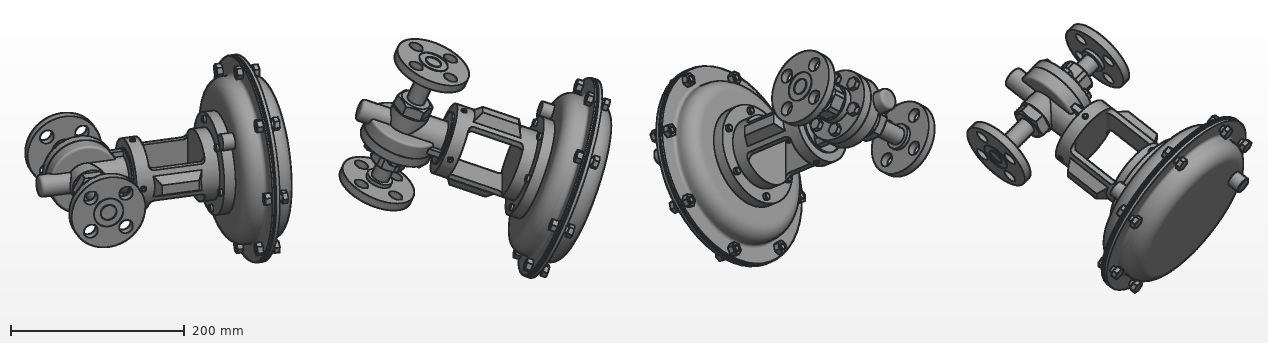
import cadquery as cq
import math


CASE_BOTTOM, CASE_TOP = 162.7, 223.3
CASE_RADIUS = 98.0
CASE_CORNER = 17.0
RIM_BOTTOM, RIM_TOP = 188.5, 197.5
RIM_RADIUS = 120.5
RIM_CHAMFER_WIDTH = 1.0
RIM_CHAMFER_HEIGHT = 2.0
RIM_FILLET = 3.8
SEAM_LEVEL = 192.7
SEAM_HEIGHT = 0.45
SEAM_DEPTH = 1.0

RIM_BOLT_COUNT = 8
RIM_BOLT_CIRCLE_RADIUS = 111.0
BOLT_ACROSS_FLATS = 13.2
BOLT_SHANK_RADIUS = 4.0
BOLT_HEAD_BOTTOM, BOLT_HEAD_TOP = 202.2, 208.3
NUT_BOTTOM = 181.5
BOLT_END = 180.7
BOLT_END_CHAMFER = 1.0

PORT_RADIUS = 9.7
PORT_CHAMFER = 0.5
TOP_PORT_X = -70.3
TOP_PORT_END = 238.0
LOWER_PORT_X, LOWER_PORT_Z = 49.5, 49.5
LOWER_PORT_END = 148.3

PLATE_RADIUS = 60.0
PLATE_BOTTOM = 149.2
PLATE_SCREW_COUNT = 6
PLATE_SCREW_CIRCLE_RADIUS = 52.5
PLATE_SCREW_START_ANGLE = 15
PLATE_SCREW_RADIUS = 4.0
PLATE_SCREW_END = 145.0

YOKE_RADIUS = 42.5
YOKE_BOTTOM = 49.0
WINDOW_BOTTOM, WINDOW_TOP = 66.0, 133.5
WINDOW_HALF_WIDTH = 31.2
LEG_HALF_WIDTH = 19.5
WINDOW_FILLET = 6.0
PAD_OUTER_X = 52.5
PAD_INNER_X = 35.3
PAD_BOTTOM, PAD_TOP = 76.5, 121.2
PAD_HALF_WIDTH = 6.2
PAD_SLOPE = 30
SET_SCREW_COUNT = 4
SET_SCREW_Y = 57.0
SET_SCREW_RADIUS = 3.2
SET_SCREW_REACH = 44.5
SET_SCREW_CHAMFER = 1.2

COLLAR_RADIUS = 31.5
COLLAR_BOTTOM = 47.0
NECK_CENTER_X = -3.0
LUG_BACK_X, LUG_SHOULDER_X, LUG_FRONT_X = -3.5, -10.5, -14.7
LUG_HALF_WIDTH = 28.5
LUG_FRONT_HALF_WIDTH = 22.0

BODY_RADIUS = 42.7
COVER_RADIUS = 43.0
COVER_LEFT, COVER_RIGHT = -28.5, -16.8
BODY_RIGHT = 1.2
BODY_FILLET = 3.2
HUB_RADIUS = 22.0
HUB_LEFT = -37.0
OUTLET_END = 21.8
STEM_RADIUS = 13.0
STEM_END = -56.2
STEM_FILLET = 3.8
COVER_BOLT_COUNT = 6
COVER_BOLT_CIRCLE_RADIUS = 33.0
COVER_BOLT_ACROSS_FLATS = 13.0
COVER_BOLT_LEFT = -34.5

NUT_ACROSS_FLATS = 38.3
INLET_NUT_LEFT = -55.0
INLET_NUT_CORNER_FLATS = 41.0
OUTLET_NUT_RIGHT = 36.0
UNION_NUT_CHAMFER_LENGTH = 2.5
UNION_NUT_CHAMFER_DEPTH = 4.7

PIPE_RADIUS = 10.5
WELD_RADIUS = 15.3
WELD_X = 75.5
FLANGE_RADIUS = 44.5
FLANGE_INNER_X, FLANGE_OUTER_X = 80.3, 90.5
FACE_RADIUS = 17.7
FACE_OUTER_X = 91.5
BORE_RADIUS = 9.5
BORE_DEPTH = 1.2
FLANGE_HOLE_COUNT = 4
FLANGE_HOLE_START_ANGLE = 45
FLANGE_HOLE_RADIUS = 8.2
FLANGE_HOLE_CIRCLE_RADIUS = 30.0

OVERLAP = 3.0
HEX_HALF_STEP = 30


def rod_y(radius, start, end, x=0.0, z=0.0):
    """Cylinder along Y from start to end, centred at (x, z)."""
    return cq.Workplane("XZ", origin=(x, start, z)).circle(radius).extrude(start - end)


def rod_x(radius, start, end, y=0.0, z=0.0):
    """Cylinder along X from start to end, centred at (y, z)."""
    return cq.Workplane("YZ", origin=(start, y, z)).circle(radius).extrude(end - start)


def hex_corners(across_flats):
    """Distance across the corners of a hexagon."""
    return across_flats / math.cos(math.radians(HEX_HALF_STEP))


def hex_x(across_flats, start, end, y=0.0, z=0.0):
    """Hexagon along X with two corners pointing along Y."""
    return cq.Workplane("YZ", origin=(start, y, z)).polygon(6, hex_corners(across_flats)).extrude(end - start)


def hex_y(across_flats, start, end, x):
    """Hexagon along Y with two corners pointing along X."""
    return cq.Workplane("XZ", origin=(x, start, 0)).polygon(6, hex_corners(across_flats)).extrude(start - end)


def ring_of(part, count, axis, start_angle=0.0):
    """Copies of a part spread evenly around an axis through the origin."""
    copies = cq.Workplane()
    for i in range(count):
        copies = copies.add(part.rotate((0, 0, 0), axis, start_angle + i * 360 / count))
    return copies


def make_case():
    """Two domed case halves joined at a wide rim, with a seam groove around the rim."""
    inset = CASE_CORNER * (1 - math.sqrt(0.5))
    flare = RIM_FILLET * (1 - math.sqrt(0.5))
    flat_radius = CASE_RADIUS - CASE_CORNER
    rim_root = CASE_RADIUS + RIM_FILLET
    profile = (
        cq.Workplane("XY")
        .moveTo(0, CASE_BOTTOM)
        .lineTo(flat_radius, CASE_BOTTOM)
        .threePointArc((CASE_RADIUS - inset, CASE_BOTTOM + inset), (CASE_RADIUS, CASE_BOTTOM + CASE_CORNER))
        .lineTo(CASE_RADIUS, RIM_BOTTOM - RIM_FILLET)
        .threePointArc((CASE_RADIUS + flare, RIM_BOTTOM - flare), (rim_root, RIM_BOTTOM))
        .lineTo(RIM_RADIUS - RIM_CHAMFER_WIDTH, RIM_BOTTOM)
        .lineTo(RIM_RADIUS, RIM_BOTTOM + RIM_CHAMFER_HEIGHT)
        .lineTo(RIM_RADIUS, RIM_TOP)
        .lineTo(rim_root, RIM_TOP)
        .threePointArc((CASE_RADIUS + flare, RIM_TOP + flare), (CASE_RADIUS, RIM_TOP + RIM_FILLET))
        .lineTo(CASE_RADIUS, CASE_TOP - CASE_CORNER)
        .threePointArc((CASE_RADIUS - inset, CASE_TOP - inset), (flat_radius, CASE_TOP))
        .lineTo(0, CASE_TOP)
        .close()
    )
    case = profile.revolve(360, (0, 0, 0), (0, 1, 0))
    seam_top = SEAM_LEVEL + SEAM_HEIGHT
    seam = rod_y(RIM_RADIUS + OVERLAP, SEAM_LEVEL, seam_top)
    seam = seam.cut(rod_y(RIM_RADIUS - SEAM_DEPTH, SEAM_LEVEL, seam_top))
    return case.cut(seam)


def make_rim_bolts():
    """Hexagon bolts with nuts around the case rim; each nut has its corners around the circle."""
    x = RIM_BOLT_CIRCLE_RADIUS
    shank = rod_y(BOLT_SHANK_RADIUS, BOLT_END, BOLT_HEAD_TOP, x).faces("<Y").chamfer(BOLT_END_CHAMFER)
    head = hex_y(BOLT_ACROSS_FLATS, BOLT_HEAD_BOTTOM, BOLT_HEAD_TOP, x)
    nut = hex_y(BOLT_ACROSS_FLATS, NUT_BOTTOM, RIM_BOTTOM, x).rotate((x, 0, 0), (x, 1, 0), HEX_HALF_STEP)
    return ring_of(shank.union(head).union(nut), RIM_BOLT_COUNT, (0, 1, 0))


def make_ports():
    """Air connection on the outer case face and a second one beside the mounting plate."""
    top_port = rod_y(PORT_RADIUS, CASE_TOP - OVERLAP, TOP_PORT_END, TOP_PORT_X)
    top_port = top_port.faces(">Y").chamfer(PORT_CHAMFER)
    lower_port = rod_y(PORT_RADIUS, LOWER_PORT_END, CASE_BOTTOM + OVERLAP, LOWER_PORT_X, LOWER_PORT_Z)
    return top_port.union(lower_port)


def make_plate():
    """Round mounting plate with its ring of chamfered screw ends."""
    plate = rod_y(PLATE_RADIUS, PLATE_BOTTOM, CASE_BOTTOM)
    screw = rod_y(PLATE_SCREW_RADIUS, PLATE_SCREW_END, PLATE_BOTTOM + OVERLAP, PLATE_SCREW_CIRCLE_RADIUS)
    screw = screw.faces("<Y").chamfer(BOLT_END_CHAMFER)
    screws = ring_of(screw, PLATE_SCREW_COUNT, (0, 1, 0), PLATE_SCREW_START_ANGLE)
    return plate.union(screws)


def make_yoke():
    """Cylinder opened up to two legs, with a tapered pad on each leg and four set screws."""
    yoke = rod_y(YOKE_RADIUS, YOKE_BOTTOM, PLATE_BOTTOM)
    window_height = WINDOW_TOP - WINDOW_BOTTOM
    window_y = (WINDOW_TOP + WINDOW_BOTTOM) / 2
    opening = (
        cq.Workplane("XY")
        .box(2 * WINDOW_HALF_WIDTH, window_height, 2 * YOKE_RADIUS)
        .edges("|Z and <Y")
        .fillet(WINDOW_FILLET)
        .translate((0, window_y, 0))
    )
    yoke = yoke.cut(opening)
    side = (
        cq.Workplane("XY")
        .box(2 * YOKE_RADIUS, window_height, YOKE_RADIUS)
        .edges("|X and <Z")
        .fillet(WINDOW_FILLET)
        .translate((0, window_y, LEG_HALF_WIDTH + YOKE_RADIUS / 2))
    )
    yoke = yoke.cut(side).cut(side.mirror("XY"))

    pad_depth = PAD_OUTER_X - PAD_INNER_X
    spread = 2 * pad_depth * math.tan(math.radians(PAD_SLOPE))
    pad_length = PAD_TOP - PAD_BOTTOM
    pad_width = 2 * PAD_HALF_WIDTH
    pad = (
        cq.Workplane("YZ", origin=(PAD_INNER_X, (PAD_TOP + PAD_BOTTOM) / 2, 0))
        .rect(pad_length + spread, pad_width + spread)
        .workplane(offset=pad_depth)
        .rect(pad_length, pad_width)
        .loft()
    )
    set_screw = rod_x(SET_SCREW_RADIUS, YOKE_RADIUS - OVERLAP, SET_SCREW_REACH, SET_SCREW_Y)
    set_screw = set_screw.faces(">X").chamfer(SET_SCREW_CHAMFER)
    set_screws = ring_of(set_screw, SET_SCREW_COUNT, (0, 1, 0))
    return yoke.union(pad).union(pad.mirror("YZ")).union(set_screws)


def make_neck():
    """Collar under the yoke, round neck trimmed flat on its inlet side, and the faceted lug."""
    collar = rod_y(COLLAR_RADIUS, COLLAR_BOTTOM, YOKE_BOTTOM)
    neck = rod_y(HUB_RADIUS, 0, COLLAR_BOTTOM, NECK_CENTER_X)
    trim_size = 4 * COLLAR_BOTTOM
    trim = cq.Workplane("XY").box(trim_size, trim_size, trim_size)
    neck = neck.cut(trim.translate((LUG_FRONT_X - trim_size / 2, 0, 0)))
    lug = (
        cq.Workplane("XZ")
        .polyline([
            (LUG_BACK_X, LUG_HALF_WIDTH),
            (LUG_SHOULDER_X, LUG_HALF_WIDTH),
            (LUG_FRONT_X, LUG_FRONT_HALF_WIDTH),
            (LUG_FRONT_X, -LUG_FRONT_HALF_WIDTH),
            (LUG_SHOULDER_X, -LUG_HALF_WIDTH),
            (LUG_BACK_X, -LUG_HALF_WIDTH),
        ])
        .close()
        .extrude(-COLLAR_BOTTOM)
    )
    return collar.union(neck).union(lug)


def make_valve_body():
    """Round body with bolted cover, inlet hub, outlet barrel and bottom stem."""
    body = rod_x(BODY_RADIUS, COVER_RIGHT, BODY_RIGHT).faces(">X").edges().fillet(BODY_FILLET)
    cover = rod_x(COVER_RADIUS, COVER_LEFT, COVER_RIGHT)
    hub = rod_x(HUB_RADIUS, HUB_LEFT, COVER_LEFT)
    outlet = rod_x(HUB_RADIUS, 0, OUTLET_END)
    stem = rod_y(STEM_RADIUS, STEM_END, 0).faces("<Y").edges().fillet(STEM_FILLET)
    bolt = hex_x(COVER_BOLT_ACROSS_FLATS, COVER_BOLT_LEFT, COVER_LEFT, 0, COVER_BOLT_CIRCLE_RADIUS)
    bolts = ring_of(bolt, COVER_BOLT_COUNT, (1, 0, 0))
    return body.union(cover).union(hub).union(outlet).union(stem).union(bolts)


def chamfer_blank(start, end, outer_radius):
    """Round blank along X that narrows at its far end, used to break the corners of a nut."""
    length = abs(end - start)
    blank = (
        cq.Workplane("XY")
        .polyline([
            (0, 0),
            (0, outer_radius),
            (length - UNION_NUT_CHAMFER_LENGTH, outer_radius),
            (length, outer_radius - UNION_NUT_CHAMFER_DEPTH),
            (length, 0),
        ])
        .close()
        .revolve(360, (0, 0, 0), (1, 0, 0))
    )
    if end < start:
        blank = blank.mirror("YZ")
    return blank.translate((start, 0, 0))


def make_union_nuts():
    """Outlet nut with plain corners and inlet nut with flattened corners, both chamfered outside."""
    corner_radius = hex_corners(NUT_ACROSS_FLATS) / 2
    outlet_nut = hex_x(NUT_ACROSS_FLATS, OUTLET_END, OUTLET_NUT_RIGHT)
    outlet_nut = outlet_nut.intersect(chamfer_blank(OUTLET_END, OUTLET_NUT_RIGHT, corner_radius))
    corner_flats = hex_x(INLET_NUT_CORNER_FLATS, HUB_LEFT, INLET_NUT_LEFT)
    corner_flats = corner_flats.rotate((0, 0, 0), (1, 0, 0), HEX_HALF_STEP)
    inlet_nut = hex_x(NUT_ACROSS_FLATS, HUB_LEFT, INLET_NUT_LEFT).intersect(corner_flats)
    inlet_nut = inlet_nut.intersect(chamfer_blank(HUB_LEFT, INLET_NUT_LEFT, corner_radius))
    return outlet_nut.union(inlet_nut)


def make_pipe_end(nut_end):
    """Pipe on the +X side with weld collar, drilled flange and raised face."""
    pipe = rod_x(PIPE_RADIUS, nut_end, FLANGE_INNER_X)
    weld = rod_x(WELD_RADIUS, WELD_X, FLANGE_INNER_X)
    flange = rod_x(FLANGE_RADIUS, FLANGE_INNER_X, FLANGE_OUTER_X)
    face = rod_x(FACE_RADIUS, FLANGE_OUTER_X, FACE_OUTER_X)
    hole = rod_x(FLANGE_HOLE_RADIUS, FLANGE_INNER_X, FLANGE_OUTER_X, FLANGE_HOLE_CIRCLE_RADIUS)
    bore = rod_x(BORE_RADIUS, FACE_OUTER_X - BORE_DEPTH, FACE_OUTER_X)
    holes = ring_of(hole, FLANGE_HOLE_COUNT, (1, 0, 0), FLANGE_HOLE_START_ANGLE)
    return pipe.union(weld).union(flange).union(face).cut(bore).cut(holes)


result = make_case().union(make_rim_bolts()).union(make_ports())
result = result.union(make_plate()).union(make_yoke()).union(make_neck())
result = result.union(make_valve_body()).union(make_union_nuts())
result = result.union(make_pipe_end(OUTLET_NUT_RIGHT))
result = result.union(make_pipe_end(-INLET_NUT_LEFT).mirror("YZ"))